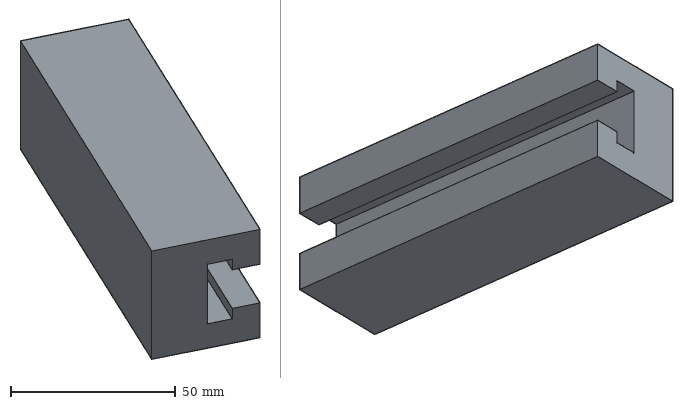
import cadquery as cq

length = 120.0
depth = 35.0
height = 40.0

neck_width = 14.25
neck_depth = 9.0
head_width = 22.0
head_depth = 8.0


def slot_cut(width, slot_depth, outer_y):
    """Full-length cutter, centred in Z, reaching inward from outer_y."""
    return cq.Workplane("XY").box(length, slot_depth, width).translate((0, outer_y - slot_depth / 2, 0))


slot_face_y = depth / 2
bar = cq.Workplane("XY").box(length, depth, height)
neck = slot_cut(neck_width, neck_depth, slot_face_y)
head = slot_cut(head_width, head_depth, slot_face_y - neck_depth)

result = bar.cut(neck).cut(head)